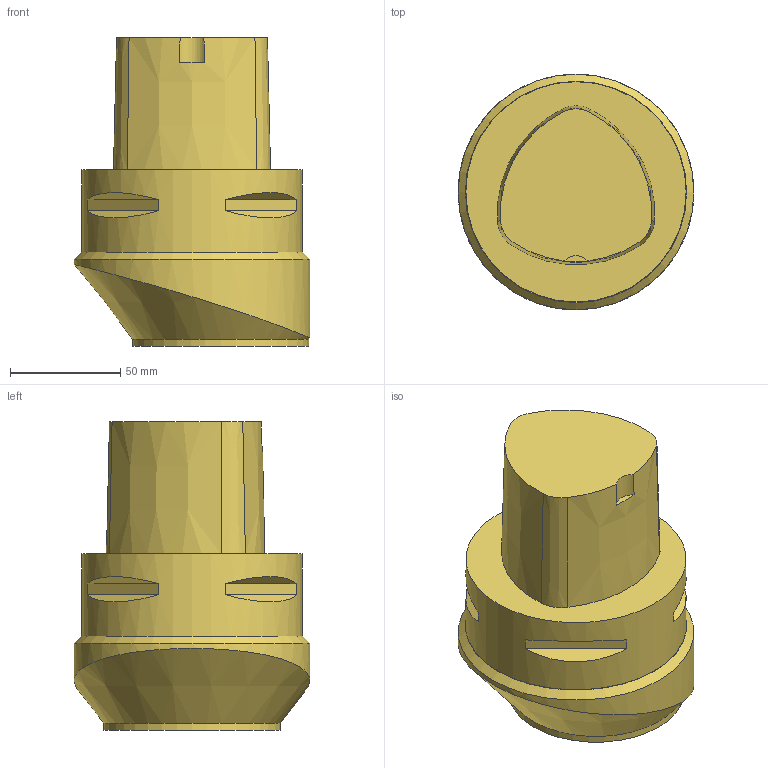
import cadquery as cq
import math

SHANK_LENGTH = 60.0
SHANK_TAPER = 1.4
LOBE_CENTRE = 24.8
LOBE_RADIUS = 14.2
FLAT_DISTANCE = 33.1
FIRST_LOBE_ANGLE = 90.0
LOBE_COUNT = 3
LOBE_PITCH = 360 / LOBE_COUNT

NOTCH_RADIUS = 7.5
NOTCH_HEIGHT = 11.3
NOTCH_INNER_Y = -29.1

COLLAR_DIAMETER = 100.0
COLLAR_HEIGHT = 37.3
BODY_DIAMETER = 107.0
BODY_CHAMFER = 3.3

GROOVE_COUNT = 4
GROOVE_DEPTH = 5.6
GROOVE_FLOOR_WIDTH = 5.0
GROOVE_WALL_ANGLE = 30.0
GROOVE_Z = -16.0
GROOVE_LENGTH = 60.0
GROOVE_OVERCUT = 5.0

TOTAL_HEIGHT = 140.0
BOTTOM_Z = SHANK_LENGTH - TOTAL_HEIGHT
DISC_DIAMETER = 80.0
DISC_HEIGHT = 3.2
DISC_OFFSET_X = 13.0
CONE_ANGLE = 38.0


def polar(radius, degrees, centre=(0.0, 0.0)):
    """Point at a given radius and direction from a centre."""
    angle = math.radians(degrees)
    return (centre[0] + radius * math.cos(angle), centre[1] + radius * math.sin(angle))


def lobed_outline(plane, inset):
    """Closed outline of three lobe arcs joined tangentially by three broad arcs."""
    lobe_radius = LOBE_RADIUS - inset
    flat_distance = FLAT_DISTANCE - inset
    reach = flat_distance - lobe_radius
    side_centre = (LOBE_CENTRE**2 - reach**2) / (2 * reach - LOBE_CENTRE)
    half_pitch = LOBE_PITCH / 2
    lobe_x, lobe_y = polar(LOBE_CENTRE, half_pitch)
    side_half_span = math.degrees(math.atan2(lobe_y, lobe_x + side_centre))
    lobe_half_span = half_pitch - side_half_span

    outline = plane
    for index in range(LOBE_COUNT):
        angle = FIRST_LOBE_ANGLE + index * LOBE_PITCH
        centre = polar(LOBE_CENTRE, angle)
        lobe_start = polar(lobe_radius, angle - lobe_half_span, centre)
        lobe_end = polar(lobe_radius, angle + lobe_half_span, centre)
        if index == 0:
            outline = outline.moveTo(*lobe_start)
        next_angle = angle + LOBE_PITCH
        next_start = polar(lobe_radius, next_angle - lobe_half_span, polar(LOBE_CENTRE, next_angle))
        outline = outline.threePointArc(polar(lobe_radius, angle, centre), lobe_end)
        outline = outline.threePointArc(polar(flat_distance, angle + half_pitch), next_start)
    return outline.close()


def make_shank():
    """Shank lofted between its base and its smaller top outline, with the index notch."""
    base = lobed_outline(cq.Workplane("XY"), 0.0)
    shank = lobed_outline(base.workplane(offset=SHANK_LENGTH), SHANK_TAPER).loft(ruled=True)
    notch = (
        cq.Workplane("XY", origin=(0, NOTCH_INNER_Y - NOTCH_RADIUS, SHANK_LENGTH))
        .circle(NOTCH_RADIUS)
        .extrude(-NOTCH_HEIGHT)
    )
    return shank.cut(notch)


def make_collar():
    """Collar below the shoulder, with gripper grooves on its diagonals."""
    radius = COLLAR_DIAMETER / 2
    collar = cq.Workplane("XY").circle(radius).extrude(-COLLAR_HEIGHT)
    floor_x = radius - GROOVE_DEPTH
    outer_x = radius + GROOVE_OVERCUT
    floor_half = GROOVE_FLOOR_WIDTH / 2
    outer_half = floor_half + (outer_x - floor_x) * math.tan(math.radians(GROOVE_WALL_ANGLE))
    groove = (
        cq.Workplane("XZ", origin=(0, 0, GROOVE_Z))
        .polyline([
            (floor_x, -floor_half),
            (outer_x, -outer_half),
            (outer_x, outer_half),
            (floor_x, floor_half),
        ])
        .close()
        .extrude(GROOVE_LENGTH / 2, both=True)
    )
    pitch = 360 / GROOVE_COUNT
    for index in range(GROOVE_COUNT):
        collar = collar.cut(groove.rotate((0, 0, 0), (0, 0, 1), pitch * (index + 0.5)))
    return collar


def make_body():
    """Chamfered cylinder trimmed below by a cone whose axis is offset along X."""
    cone_base_z = BOTTOM_Z + DISC_HEIGHT
    cone_height = -COLLAR_HEIGHT - cone_base_z
    cylinder = (
        cq.Workplane("XY", origin=(0, 0, cone_base_z))
        .circle(BODY_DIAMETER / 2)
        .extrude(cone_height)
        .faces(">Z")
        .chamfer(BODY_CHAMFER)
    )
    cone_base_radius = DISC_DIAMETER / 2
    cone_slope = math.tan(math.radians(CONE_ANGLE))
    cone = cq.Workplane(
        cq.Solid.makeCone(
            cone_base_radius,
            cone_base_radius + cone_height * cone_slope,
            cone_height,
            pnt=cq.Vector(DISC_OFFSET_X, 0, cone_base_z),
        )
    )
    disc = (
        cq.Workplane("XY", origin=(DISC_OFFSET_X, 0, BOTTOM_Z))
        .circle(cone_base_radius)
        .extrude(DISC_HEIGHT)
    )
    return cylinder.intersect(cone).union(disc)


result = make_body().union(make_collar()).union(make_shank())